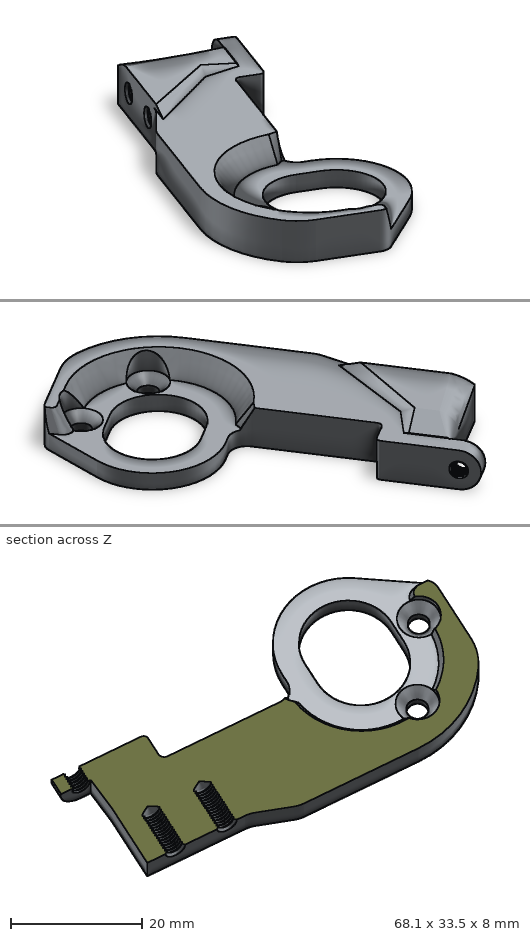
import math
import cadquery as cq

ARM_HEIGHT = 7.0
BLOCK_HEIGHT = 8.0
RING_HEIGHT = 3.0

OPENING_WIDTH = 15.1
OPENING_LENGTH = 19.0
RING_OUTER_RADIUS = 11.5
RING_CENTER_Y = 2.0

WALL_OUTER_RADIUS = 18.0
WALL_CENTER_Y = -RING_CENTER_Y
RIGHT_X = 16.5
TIP_SLOPE = math.radians(34)

ARM_BACK_Y = -2.5
ARM_FRONT_Y = WALL_CENTER_Y - WALL_OUTER_RADIUS
ARM_LEFT_X = -40.0
STEP_LEFT_X = -28.1
STEP_RIGHT_X = -20.8

STEP_FILLET = 5.0
WALL_FILLET = 9.0
TIP_FILLET = 2.6
RING_FILLET = 3.0
LUG_INNER_FILLET = 1.0
LUG_OUTER_FILLET = 0.8

LUG_BACK_Y = 2.5
LUG_THICKNESS = 3.0
LUG_FRONT_Y = LUG_BACK_Y - LUG_THICKNESS
LUG_RIGHT_X = -35.1
LUG_RADIUS = ARM_HEIGHT / 2
LUG_HOLE_X = -48.1

BLOCK_FRONT_Y = -17.5
BLOCK_RIDGE_Y = -6.5
END_SHOULDER_BULGE = 0.25
RIDGE_SHOULDER_BULGE = 0.6

THREAD_CREST_DIAMETER = 2.52
THREAD_ROOT_DIAMETER = 3.0
THREAD_PITCH = 0.5

BLIND_MOUTH_DIAMETER = 3.4
BLIND_TURNS = 15
BLIND_POINT_ANGLE = math.radians(118)
BLIND_HOLE_Z = 4.0
BLIND_HOLE_XS = (-41.05, -32.05)

SCREW_DIAMETER = 3.4
SCREW_HEAD_DIAMETER = 6.7
SCREW_CENTERS = ((11.5, 0.5), (4.0, -12.5))

CLEARANCE = 5.0


def fillet_vertical_edge(body, x, y, radius):
    """Round the full-height vertical edge standing at (x, y)."""
    corner = cq.selectors.NearestToPointSelector((x, y, ARM_HEIGHT / 2))
    return body.edges("|Z").edges(corner).fillet(radius)


def make_plate():
    """Full-height plate: arm, ring and wall in one outline."""
    wall_end_y = WALL_CENTER_Y - math.sqrt(WALL_OUTER_RADIUS**2 - RIGHT_X**2)
    wall_mid_x = RIGHT_X / 2
    wall_mid_y = WALL_CENTER_Y - math.sqrt(WALL_OUTER_RADIUS**2 - wall_mid_x**2)
    tangent_x = RING_OUTER_RADIUS * math.sin(TIP_SLOPE)
    tangent_y = RING_CENTER_Y + RING_OUTER_RADIUS * math.cos(TIP_SLOPE)
    tip_y = tangent_y - (RIGHT_X - tangent_x) * math.tan(TIP_SLOPE)

    plate = (
        cq.Workplane("XY")
        .moveTo(ARM_LEFT_X, BLOCK_FRONT_Y)
        .lineTo(STEP_LEFT_X, BLOCK_FRONT_Y)
        .lineTo(STEP_RIGHT_X, ARM_FRONT_Y)
        .lineTo(0, ARM_FRONT_Y)
        .threePointArc((wall_mid_x, wall_mid_y), (RIGHT_X, wall_end_y))
        .lineTo(RIGHT_X, tip_y)
        .lineTo(tangent_x, tangent_y)
        .threePointArc((0, RING_CENTER_Y + RING_OUTER_RADIUS), (-RING_OUTER_RADIUS, RING_CENTER_Y))
        .lineTo(-RING_OUTER_RADIUS, ARM_BACK_Y)
        .lineTo(LUG_RIGHT_X, ARM_BACK_Y)
        .lineTo(LUG_RIGHT_X, LUG_BACK_Y)
        .lineTo(ARM_LEFT_X, LUG_BACK_Y)
        .close()
        .extrude(ARM_HEIGHT)
    )
    rounded_corners = (
        (STEP_LEFT_X, BLOCK_FRONT_Y, STEP_FILLET),
        (STEP_RIGHT_X, ARM_FRONT_Y, STEP_FILLET),
        (RIGHT_X, wall_end_y, WALL_FILLET),
        (RIGHT_X, tip_y, TIP_FILLET),
        (-RING_OUTER_RADIUS, ARM_BACK_Y, RING_FILLET),
        (LUG_RIGHT_X, ARM_BACK_Y, LUG_INNER_FILLET),
        (LUG_RIGHT_X, LUG_BACK_Y, LUG_OUTER_FILLET),
    )
    for x, y, radius in rounded_corners:
        plate = fillet_vertical_edge(plate, x, y, radius)
    return plate


def make_lug():
    """Left end of the lug, rounded about the axis of its cross hole."""
    bar_length = ARM_LEFT_X - LUG_HOLE_X
    back_plane = cq.Workplane("XZ", origin=(LUG_HOLE_X, LUG_BACK_Y, LUG_RADIUS))
    bar = back_plane.center(bar_length / 2, 0).rect(bar_length, ARM_HEIGHT).extrude(LUG_THICKNESS)
    return bar.union(back_plane.circle(LUG_RADIUS).extrude(LUG_THICKNESS))


def block_section(y, left_x, shoulder_z, top_left_x, top_right_x, top_z, right_x, bulge):
    """Wire of the block cross-section at y, with a bulged shoulder at its upper left."""
    rise = top_z - shoulder_z
    run = top_left_x - left_x
    chord = math.hypot(run, rise)
    bulge_x = left_x + run / 2 - bulge * rise / chord
    bulge_z = shoulder_z + rise / 2 + bulge * run / chord
    return (
        cq.Workplane("XZ", origin=(0, y, 0))
        .moveTo(left_x, 0)
        .lineTo(left_x, shoulder_z)
        .threePointArc((bulge_x, bulge_z), (top_left_x, top_z))
        .lineTo(top_right_x, top_z)
        .lineTo(right_x, ARM_HEIGHT)
        .lineTo(right_x, 0)
        .close()
        .val()
    )


def make_block():
    """Mounting block: level from the front to the ridge, then falling to the lug."""
    front = block_section(
        y=BLOCK_FRONT_Y, left_x=-46.0, shoulder_z=6.5,
        top_left_x=-42.2, top_right_x=-28.1, top_z=BLOCK_HEIGHT, right_x=-24.7,
        bulge=END_SHOULDER_BULGE,
    )
    ridge = block_section(
        y=BLOCK_RIDGE_Y, left_x=-46.0, shoulder_z=5.15,
        top_left_x=-43.0, top_right_x=-39.1, top_z=BLOCK_HEIGHT, right_x=-36.9,
        bulge=RIDGE_SHOULDER_BULGE,
    )
    back = block_section(
        y=LUG_FRONT_Y, left_x=-46.4, shoulder_z=6.0,
        top_left_x=-45.5, top_right_x=-39.6, top_z=7.15, right_x=-38.8,
        bulge=END_SHOULDER_BULGE,
    )
    front_part = cq.Workplane(cq.Solid.makeLoft([front, ridge], True))
    back_part = cq.Workplane(cq.Solid.makeLoft([ridge, back], True))
    return front_part.union(back_part)


def recess_outline(z, radius, center_y, left_y, left_x, corner_y, corner_radius):
    """Wire of the ring recess at height z; it flares past the wall at both ends."""
    left_arc_x = -math.sqrt(radius**2 - (left_y - center_y) ** 2)
    outer_x = RIGHT_X + CLEARANCE
    outer_y = RING_CENTER_Y + RING_OUTER_RADIUS + CLEARANCE
    corner_inset = corner_radius * (1 - math.sqrt(0.5))
    return (
        cq.Workplane("XY", origin=(0, 0, z))
        .moveTo(left_arc_x, left_y)
        .threePointArc((0, center_y - radius), (radius, center_y))
        .lineTo(radius, corner_y - corner_radius)
        .threePointArc(
            (radius + corner_inset, corner_y - corner_inset),
            (radius + corner_radius, corner_y),
        )
        .lineTo(outer_x, corner_y)
        .lineTo(outer_x, outer_y)
        .lineTo(left_x, outer_y)
        .lineTo(left_x, ARM_BACK_Y)
        .close()
        .val()
    )


def make_recess():
    """Sloping-sided recess that lowers the ring and leaves the wall standing."""
    floor = recess_outline(
        z=RING_HEIGHT, radius=11.85, center_y=-2.0,
        left_y=-3.5, left_x=-12.8, corner_y=5.5, corner_radius=1.9,
    )
    rim = recess_outline(
        z=ARM_HEIGHT, radius=14.55, center_y=-2.35,
        left_y=-4.0, left_x=-15.0, corner_y=4.45, corner_radius=0.8,
    )
    return cq.Workplane(cq.Solid.makeLoft([floor, rim], True))


def make_opening():
    """Oblong opening through the ring."""
    return cq.Workplane("XY").slot2D(OPENING_LENGTH, OPENING_WIDTH, 90).extrude(RING_HEIGHT)


def make_screw_hole(x, y):
    """Through hole with a 90 degree countersink and clearance for the screw head above it."""
    hole_radius = SCREW_DIAMETER / 2
    head_radius = SCREW_HEAD_DIAMETER / 2
    cone_bottom_z = RING_HEIGHT - (head_radius - hole_radius)
    return (
        cq.Workplane("XZ")
        .polyline([
            (0, 0),
            (hole_radius, 0),
            (hole_radius, cone_bottom_z),
            (head_radius, RING_HEIGHT),
            (head_radius, ARM_HEIGHT),
            (0, ARM_HEIGHT),
        ])
        .close()
        .revolve(360, (0, 0), (0, 1))
        .translate((x, y, 0))
    )


def thread_profile(start_y, turns):
    """Points of a thread's half profile (radius, y), running along +Y from a crest at start_y."""
    crest_radius = THREAD_CREST_DIAMETER / 2
    root_radius = THREAD_ROOT_DIAMETER / 2
    points = [(crest_radius, start_y)]
    for turn in range(turns):
        turn_y = start_y + turn * THREAD_PITCH
        points.append((root_radius, turn_y + THREAD_PITCH / 2))
        points.append((crest_radius, turn_y + THREAD_PITCH))
    return points


def revolve_about_y(points):
    """Solid of revolution about the Y axis from a half profile that begins and ends on it."""
    return cq.Workplane("XY").polyline(points).close().revolve(360, (0, 0), (0, 1))


def make_blind_hole(x):
    """Threaded hole running back from the block front, with a chamfered mouth and a drill point."""
    crest_radius = THREAD_CREST_DIAMETER / 2
    mouth_radius = BLIND_MOUTH_DIAMETER / 2
    mouth_depth = mouth_radius - crest_radius
    thread_end_y = mouth_depth + BLIND_TURNS * THREAD_PITCH
    point_y = thread_end_y + crest_radius / math.tan(BLIND_POINT_ANGLE / 2)
    profile = [(0, 0), (mouth_radius, 0)]
    profile += thread_profile(mouth_depth, BLIND_TURNS)
    profile += [(0, point_y)]
    return revolve_about_y(profile).translate((x, BLOCK_FRONT_Y, BLIND_HOLE_Z))


def make_lug_hole():
    """Threaded cross hole through the lug, cut half a turn past each face."""
    turns = round(LUG_THICKNESS / THREAD_PITCH) + 1
    start_y = -THREAD_PITCH / 2
    end_y = start_y + turns * THREAD_PITCH
    profile = [(0, start_y)] + thread_profile(start_y, turns) + [(0, end_y)]
    return revolve_about_y(profile).translate((LUG_HOLE_X, LUG_FRONT_Y, LUG_RADIUS))


result = make_plate().union(make_lug()).union(make_block())
result = result.cut(make_recess()).cut(make_opening()).cut(make_lug_hole())
for screw_x, screw_y in SCREW_CENTERS:
    result = result.cut(make_screw_hole(screw_x, screw_y))
for blind_x in BLIND_HOLE_XS:
    result = result.cut(make_blind_hole(blind_x))